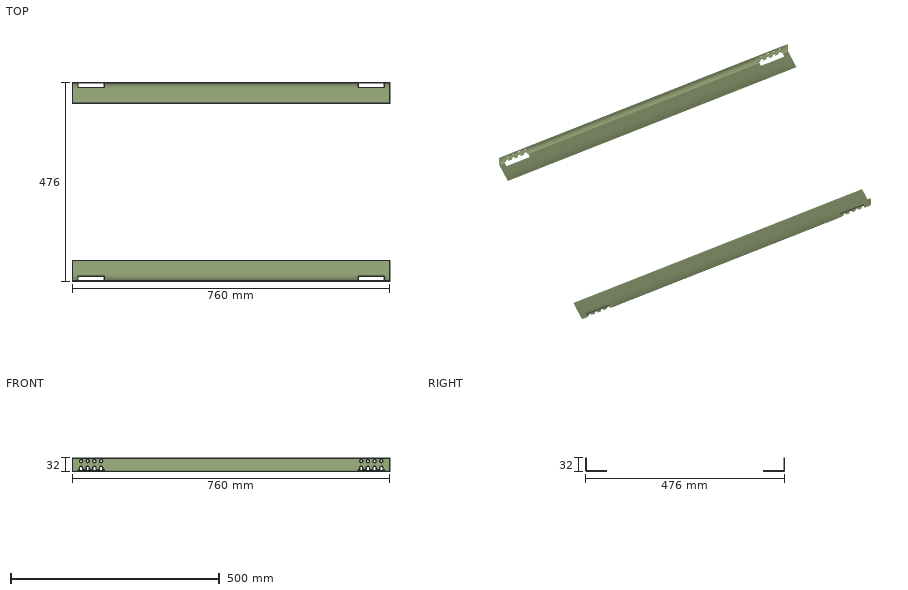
import cadquery as cq

rail_length = 760.0
span = 476.0
wall_height = 32.0
flange_width = 50.0
sheet = 2.0
outer_bend_radius = 3.0
inner_bend_radius = outer_bend_radius - sheet

hole_diameter = 7.0
hole_start = 20.75
hole_pitch = 16.0
holes_per_row = 4
lower_row_height = 9.0
upper_row_height = lower_row_height + hole_pitch

window_length = 62.0
window_depth = 12.0
window_top = 4.0
window_centre = hole_start + (holes_per_row - 1) * hole_pitch / 2


def bent_sheet():
    """L section with its outer wall face on Y = 0 and its flange toward +Y, centred along X."""
    section = (
        cq.Workplane("YZ")
        .moveTo(0, wall_height)
        .lineTo(0, outer_bend_radius)
        .radiusArc((outer_bend_radius, 0), -outer_bend_radius)
        .lineTo(flange_width, 0)
        .lineTo(flange_width, sheet)
        .lineTo(outer_bend_radius, sheet)
        .radiusArc((sheet, outer_bend_radius), inner_bend_radius)
        .lineTo(sheet, wall_height)
        .close()
    )
    return section.extrude(rail_length / 2, both=True)


def round_hole(hole_x, height):
    """Cutter for a hole through the wall, along Y."""
    return cq.Workplane("XZ").center(hole_x, height).circle(hole_diameter / 2).extrude(-sheet)


def cutter_block(centre_x, length, depth, height):
    """Cutter block centred on centre_x, rising from the rail's underside and outer face."""
    block = cq.Workplane("XY").box(length, depth, height, centered=(True, False, False))
    return block.translate((centre_x, 0, 0))


def end_cutouts():
    """Window and wall holes at the -X end; each lower hole opens down into the window."""
    rail_end = -rail_length / 2
    cutouts = cutter_block(rail_end + window_centre, window_length, window_depth, window_top)
    for index in range(holes_per_row):
        hole_x = rail_end + hole_start + index * hole_pitch
        cutouts = cutouts.union(round_hole(hole_x, upper_row_height))
        cutouts = cutouts.union(round_hole(hole_x, lower_row_height))
        cutouts = cutouts.union(cutter_block(hole_x, hole_diameter, sheet, lower_row_height))
    return cutouts


def make_rail():
    """Rail on the -Y side, with the same cutouts at both ends."""
    cutouts = end_cutouts()
    rail = bent_sheet().cut(cutouts).cut(cutouts.mirror("YZ"))
    return rail.translate((0, -span / 2, 0))


front_rail = make_rail()
rear_rail = front_rail.mirror("XZ")

result = cq.Compound.makeCompound([front_rail.val(), rear_rail.val()])